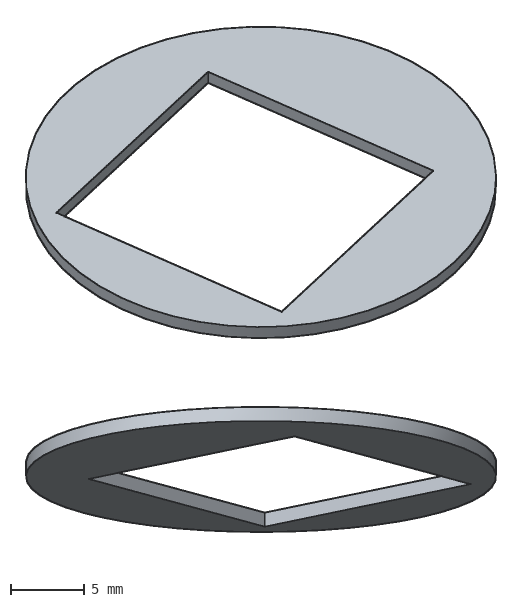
import cadquery as cq

disc_diameter = 32
thickness = 1.0

window_width = 18.6
window_length = 18.2
window_offset_y = -1.92

disc = cq.Workplane("XY").circle(disc_diameter / 2).extrude(thickness)

window = (
    cq.Workplane("XY")
    .center(0, window_offset_y)
    .rect(window_width, window_length)
    .extrude(thickness)
)

result = disc.cut(window)